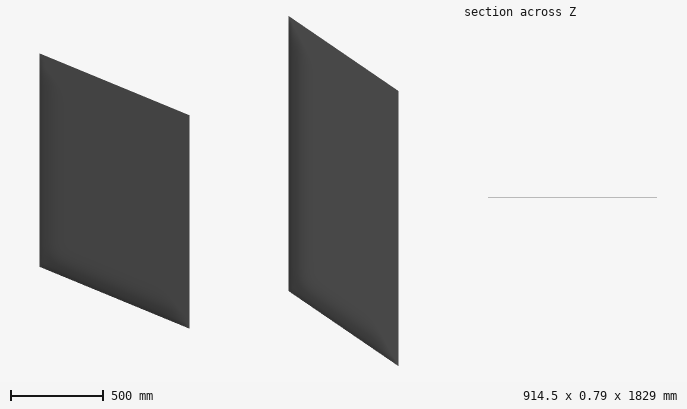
import cadquery as cq

height = 1829.0
width = height / 2
thickness = 0.79

result = cq.Workplane("XY").box(width, thickness, height)